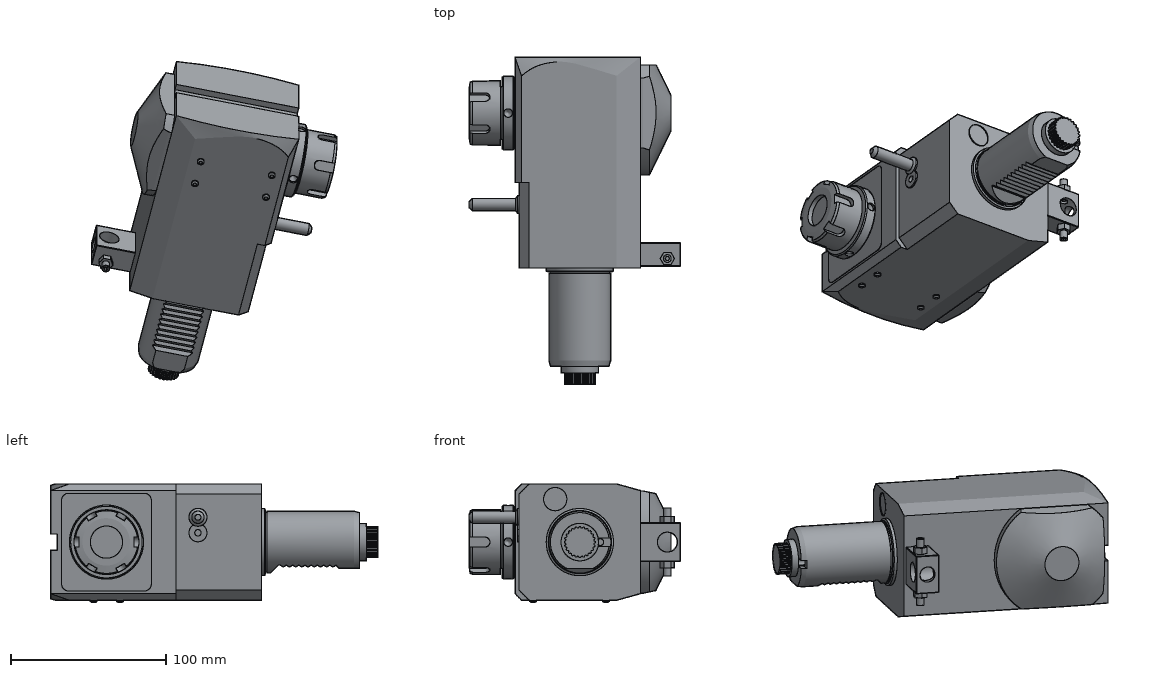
import cadquery as cq
import math


BODY_LENGTH = 136.0
HALF_HEIGHT = 37.5
RIGHT_FACE = 39.2
HEAD_LEFT = -41.8
HEAD_CHAMFER = 4.2
BASE_LEFT = -39.2
BASE_CHAMFER = 6.5
STEP_Y = 55.2
SLOPE_WIDTH = 15.3
SLOPE_DROP = 4.2
SLOT_WIDTH, SLOT_DEPTH = 10.2, 4.1
PLUG_X, PLUG_Z, PLUG_RADIUS, PLUG_SINK = -15.9, 27.7, 7.5, 0.6

CROWN_FRONT_Y = 123.9
CROWN_CURVE = [(-31.9, 128.2), (-14.0, 133.0), (8.8, 128.5)]
CROWN_REAR_PEAK = (-8.0, 36.7)

SPINDLE_Y = 100.0
NUT_FRONT, NUT_BACK, NUT_RADIUS = -71.6, -51.2, 20.9
NUT_FACE_RADIUS, NUT_BORE_RADIUS = 15.3, 10.4
NUT_CONE_LENGTH, NUT_CONE_RADIUS = 0.8, 20.2
NUT_EDGE_LENGTH = 2.5
COLLET_SINK = 3.2
NUT_SLOTS, NUT_SLOT_WIDTH, NUT_SLOT_FLOOR, NUT_SLOT_END = 6, 6.4, 17.7, -58.0
NECK_RADIUS = 17.0
RING_FRONT, RING_BACK, RING_RADIUS, RING_CHAMFER = -50.1, -42.4, 23.9, 0.8
RING_HOLES, RING_HOLE_RADIUS, RING_HOLE_DEPTH = 4, 2.75, 1.5
COVER_LENGTH, COVER_HEIGHT, COVER_CORNER, COVER_SINK = 57.9, 63.0, 4.5, 0.2

SHANK_RADIUS = 20.0
SHANK_END = -63.3
SHANK_CHAMFER_LENGTH, SHANK_CHAMFER = 3.5, 1.0
FLANGE_RADIUS, FLANGE_LENGTH = 21.7, 2.5
FLANGE_RIM, FLANGE_END_RADIUS = 2.0, 20.4
GROOVE_RADIUS, GROOVE_END = 19.4, -3.6
COLLAR_RADIUS, COLLAR_END = 12.1, -67.6
RUNOUT_START = -5.7
TOOTH_ROOT_Z, TOOTH_TIP_Z, TOOTH_PITCH, TOOTH_COUNT = -14.9, -16.2, 4.0, 9
FIRST_TOOTH_TIP = -14.0
SHANK_FLAT_Z = -17.0
KEYWAY_WIDTH, KEYWAY_DEPTH = 5.4, 3.5
COOLANT_X, COOLANT_RADIUS, COOLANT_DEPTH = 13.2, 2.2, 10.0
SPLINE_TIP, SPLINE_ROOT, SPLINE_END, SPLINE_TEETH = 10.0, 9.2, -75.0, 24
SPLINE_TIP_SHARE, SPLINE_BASE_SHARE = 0.3, 0.7

DOME_RADIUS, DOME_RIM_X, DOME_END_X, DOME_FLAT_RADIUS = 40.0, 44.9, 58.9, 11.3
DOME_REAR_Y = 131.1
DOME_SLOPE_X, DOME_SLOPE_Z, DOME_SLOPE = 41.0, 33.0, 0.214

BLOCK_RIGHT, BLOCK_FRONT, BLOCK_DEPTH, BLOCK_HALF_HEIGHT = 65.0, 1.2, 15.2, 12.5
BLOCK_CHAMFER = 0.4
BLOCK_HOLE_X, BLOCK_HOLE_RADIUS = 56.4, 6.4
PORT_RADIUS = 5.0
SCREW_Y, SCREW_RADIUS, SCREW_TOP, SCREW_TIP = 6.2, 2.5, 22.0, 8.0
SOCKET_WIDTH, SOCKET_DEPTH = 2.9, 2.5
LOCKNUT_ACROSS_CORNERS, LOCKNUT_HEIGHT = 9.2, 4.1

PIN_Y, PIN_Z, PIN_RADIUS, PIN_END = 41.0, 16.0, 4.0, -71.6
PIN_TIP_LENGTH, PIN_TIP_RADIUS = 2.3, 1.9
SEAT_RADIUS, SEAT_RIM, SEAT_HEIGHT = 5.8, 1.0, 2.2
NOZZLE_Z, NOZZLE_HOLE_RADIUS, NOZZLE_HOLE_DEPTH = 6.0, 2.1, 3.0

RIVET_XS, RIVET_YS = (-30.2, 16.8), (91.3, 108.3)
RIVET_RADIUS, RIVET_HEIGHT, RIVET_RIM, RIVET_TIP_RADIUS = 2.2, 1.6, 0.8, 1.0

ALONG_X, ALONG_Y, ALONG_Z = (1, 0, 0), (0, 1, 0), (0, 0, 1)


def lathe(origin, axis, profile):
    """Turn (distance along axis, radius) points into a solid about the axis through origin."""
    normal = ALONG_X if axis == ALONG_Z else ALONG_Z
    plane = cq.Plane(origin=origin, xDir=axis, normal=normal)
    start = (profile[0][0], 0)
    end = (profile[-1][0], 0)
    points = [*profile, end]
    if profile[0] != start:
        points.insert(0, start)
    outline = cq.Workplane(plane).polyline(points).close()
    return outline.revolve(360, (0, 0), (1, 0))


def rod(origin, axis, start, end, radius):
    return lathe(origin, axis, [(start, radius), (end, radius)])


def box(x_range, y_range, z_range):
    size = [high - low for low, high in (x_range, y_range, z_range)]
    corner = (x_range[0], y_range[0], z_range[0])
    return cq.Workplane("XY").box(*size, centered=False).translate(corner)


def housing_section(left, chamfer, y_start, y_end):
    upper = [
        (left, HALF_HEIGHT - chamfer),
        (left + chamfer, HALF_HEIGHT),
        (RIGHT_FACE - SLOPE_WIDTH, HALF_HEIGHT),
        (RIGHT_FACE, HALF_HEIGHT - SLOPE_DROP),
    ]
    lower = [(x, -z) for x, z in reversed(upper)]
    outline = cq.Workplane("XZ", origin=(0, y_start, 0)).polyline(upper + lower).close()
    return outline.extrude(y_start - y_end)


def crown_cutter():
    """Wedge above the ruled surface from the rear-face arch to the curve on the top face."""
    top_left = cq.Vector(HEAD_LEFT + HEAD_CHAMFER, CROWN_FRONT_Y, HALF_HEIGHT)
    top_right = cq.Vector(RIGHT_FACE - SLOPE_WIDTH, CROWN_FRONT_Y, HALF_HEIGHT)
    rear_left = cq.Vector(HEAD_LEFT, BODY_LENGTH, HALF_HEIGHT - HEAD_CHAMFER)
    rear_right = cq.Vector(RIGHT_FACE, BODY_LENGTH, HALF_HEIGHT - SLOPE_DROP)
    rear_peak = cq.Vector(CROWN_REAR_PEAK[0], BODY_LENGTH, CROWN_REAR_PEAK[1])
    corner_left = cq.Vector(HEAD_LEFT, BODY_LENGTH, HALF_HEIGHT)
    corner_right = cq.Vector(RIGHT_FACE, BODY_LENGTH, HALF_HEIGHT)

    inner = [cq.Vector(x, y, HALF_HEIGHT) for x, y in CROWN_CURVE]
    top_edge = cq.Edge.makeSpline([top_left, *inner, top_right])
    rear_edge = cq.Edge.makeThreePointArc(rear_left, rear_peak, rear_right)
    left_edge = cq.Edge.makeLine(rear_left, top_left)
    right_edge = cq.Edge.makeLine(rear_right, top_right)
    ridge = cq.Edge.makeLine(corner_left, corner_right)
    top_ties = [cq.Edge.makeLine(top_left, corner_left), cq.Edge.makeLine(top_right, corner_right)]
    rear_ties = [cq.Edge.makeLine(rear_left, corner_left), cq.Edge.makeLine(rear_right, corner_right)]

    def planar(*edges):
        return cq.Face.makeFromWires(cq.Wire.assembleEdges(list(edges)))

    faces = [
        cq.Face.makeRuledSurface(rear_edge, top_edge),
        planar(top_edge, top_ties[1], ridge, top_ties[0]),
        planar(rear_edge, rear_ties[1], ridge, rear_ties[0]),
        planar(left_edge, top_ties[0], rear_ties[0]),
        planar(right_edge, top_ties[1], rear_ties[1]),
    ]
    return cq.Workplane(cq.Solid.makeSolid(cq.Shell.makeShell(faces)).fix())


def housing():
    body = housing_section(BASE_LEFT, BASE_CHAMFER, 0, STEP_Y)
    body = body.union(housing_section(HEAD_LEFT, HEAD_CHAMFER, STEP_Y, BODY_LENGTH))
    crown = crown_cutter()
    body = body.cut(crown).cut(crown.mirror("XY"))
    rear_slot = box(
        (HEAD_LEFT, RIGHT_FACE),
        (BODY_LENGTH - SLOT_DEPTH, BODY_LENGTH),
        (-SLOT_WIDTH / 2, SLOT_WIDTH / 2),
    )
    plug_recess = rod((PLUG_X, 0, PLUG_Z), ALONG_Y, 0, PLUG_SINK, PLUG_RADIUS)
    cover_recess = (
        box(
            (HEAD_LEFT, HEAD_LEFT + COVER_SINK),
            (SPINDLE_Y - COVER_LENGTH / 2, SPINDLE_Y + COVER_LENGTH / 2),
            (-COVER_HEIGHT / 2, COVER_HEIGHT / 2),
        )
        .edges("|X")
        .fillet(COVER_CORNER)
    )
    return body.cut(rear_slot).cut(plug_recess).cut(cover_recess)


def dome():
    center = (0, SPINDLE_Y, 0)
    turned = lathe(
        center,
        ALONG_X,
        [
            (RIGHT_FACE, DOME_RADIUS),
            (DOME_RIM_X, DOME_RADIUS),
            (DOME_END_X, DOME_FLAT_RADIUS),
        ],
    )
    end_z = DOME_SLOPE_Z - DOME_SLOPE * (DOME_END_X - DOME_SLOPE_X)
    upper = [(RIGHT_FACE, DOME_SLOPE_Z), (DOME_SLOPE_X, DOME_SLOPE_Z), (DOME_END_X, end_z)]
    lower = [(x, -z) for x, z in reversed(upper)]
    envelope = (
        cq.Workplane("XZ", origin=(0, DOME_REAR_Y, 0))
        .polyline(upper + lower)
        .close()
        .extrude(2 * DOME_RADIUS)
    )
    return turned.intersect(envelope)


def collet_nut():
    center = (0, SPINDLE_Y, 0)
    nut = lathe(
        center,
        ALONG_X,
        [
            (NUT_FRONT, NUT_FACE_RADIUS),
            (NUT_FRONT + NUT_CONE_LENGTH, NUT_CONE_RADIUS),
            (NUT_FRONT + NUT_EDGE_LENGTH, NUT_RADIUS),
            (NUT_BACK, NUT_RADIUS),
        ],
    )
    bore = rod(center, ALONG_X, NUT_FRONT, NUT_FRONT + COLLET_SINK, NUT_BORE_RADIUS)
    nut = nut.cut(bore)
    slot_radius = NUT_SLOT_WIDTH / 2
    arc_center = NUT_SLOT_END - slot_radius
    slot = (
        cq.Workplane("XY", origin=(0, SPINDLE_Y, NUT_SLOT_FLOOR))
        .moveTo(NUT_FRONT, -slot_radius)
        .lineTo(arc_center, -slot_radius)
        .threePointArc((NUT_SLOT_END, 0), (arc_center, slot_radius))
        .lineTo(NUT_FRONT, slot_radius)
        .close()
        .extrude(NUT_RADIUS)
    )
    for index in range(NUT_SLOTS):
        angle = 90 + index * 360 / NUT_SLOTS
        nut = nut.cut(slot.rotate(center, (1, SPINDLE_Y, 0), angle))
    return nut


def spindle():
    center = (0, SPINDLE_Y, 0)
    neck = rod(center, ALONG_X, NUT_BACK, HEAD_LEFT + COVER_SINK, NECK_RADIUS)
    ring = lathe(
        center,
        ALONG_X,
        [
            (RING_FRONT, RING_RADIUS - RING_CHAMFER),
            (RING_FRONT + RING_CHAMFER, RING_RADIUS),
            (RING_BACK - RING_CHAMFER, RING_RADIUS),
            (RING_BACK, RING_RADIUS - RING_CHAMFER),
        ],
    )
    hole_origin = ((RING_FRONT + RING_BACK) / 2, SPINDLE_Y, 0)
    hole_shoulder = RING_RADIUS - RING_HOLE_DEPTH
    hole = lathe(
        hole_origin,
        ALONG_Z,
        [
            (hole_shoulder - RING_HOLE_RADIUS, 0),
            (hole_shoulder, RING_HOLE_RADIUS),
            (RING_RADIUS, RING_HOLE_RADIUS),
        ],
    )
    for index in range(RING_HOLES):
        ring = ring.cut(hole.rotate(center, (1, SPINDLE_Y, 0), index * 360 / RING_HOLES))
    return neck.union(ring).union(collet_nut())


def tooth_cutter():
    """Flat with rack teeth along the underside of the shank."""
    below = -2 * SHANK_RADIUS
    half_pitch = TOOTH_PITCH / 2
    runout_end = RUNOUT_START - (TOOTH_ROOT_Z + SHANK_RADIUS)
    points = [(RUNOUT_START, below), (RUNOUT_START, -SHANK_RADIUS), (runout_end, TOOTH_ROOT_Z)]
    for index in range(TOOTH_COUNT):
        tip = FIRST_TOOTH_TIP - index * TOOTH_PITCH
        points += [(tip + half_pitch, TOOTH_ROOT_Z), (tip, TOOTH_TIP_Z)]
    last_root = FIRST_TOOTH_TIP - (TOOTH_COUNT - 0.5) * TOOTH_PITCH
    flat_start = last_root - (TOOTH_ROOT_Z - SHANK_FLAT_Z)
    points += [
        (last_root, TOOTH_ROOT_Z),
        (flat_start, SHANK_FLAT_Z),
        (SHANK_END, SHANK_FLAT_Z),
        (SHANK_END, below),
    ]
    return cq.Workplane("YZ").polyline(points).close().extrude(SHANK_RADIUS, both=True)


def spline_end():
    pitch_angle = 2 * math.pi / SPLINE_TEETH
    half_tip = SPLINE_TIP_SHARE / 2
    half_base = SPLINE_BASE_SHARE / 2
    corners = [
        (-half_base, SPLINE_ROOT),
        (-half_tip, SPLINE_TIP),
        (half_tip, SPLINE_TIP),
        (half_base, SPLINE_ROOT),
    ]
    points = []
    for index in range(SPLINE_TEETH):
        for offset, radius in corners:
            angle = (index + offset) * pitch_angle
            points.append((radius * math.cos(angle), radius * math.sin(angle)))
    outline = cq.Workplane("XZ", origin=(0, COLLAR_END, 0)).polyline(points).close()
    return outline.extrude(COLLAR_END - SPLINE_END)


def shank():
    body = lathe(
        (0, 0, 0),
        ALONG_Y,
        [
            (0, FLANGE_RADIUS),
            (-FLANGE_RIM, FLANGE_RADIUS),
            (-FLANGE_LENGTH, FLANGE_END_RADIUS),
            (-FLANGE_LENGTH, GROOVE_RADIUS),
            (GROOVE_END, GROOVE_RADIUS),
            (GROOVE_END, SHANK_RADIUS),
            (SHANK_END + SHANK_CHAMFER_LENGTH, SHANK_RADIUS),
            (SHANK_END, SHANK_RADIUS - SHANK_CHAMFER),
        ],
    )
    keyway = box(
        (COLLAR_RADIUS, SHANK_RADIUS),
        (SHANK_END, SHANK_END + KEYWAY_DEPTH),
        (-KEYWAY_WIDTH / 2, KEYWAY_WIDTH / 2),
    )
    coolant_hole = rod((COOLANT_X, SHANK_END, 0), ALONG_Y, 0, COOLANT_DEPTH, COOLANT_RADIUS)
    collar = rod((0, 0, 0), ALONG_Y, SHANK_END, COLLAR_END, COLLAR_RADIUS)
    body = body.cut(tooth_cutter()).cut(keyway).cut(coolant_hole)
    return body.union(collar).union(spline_end())


def clamp_screw():
    """Upper set screw with its lock nut."""
    axis_point = (BLOCK_HOLE_X, SCREW_Y, 0)
    screw = rod(axis_point, ALONG_Z, SCREW_TIP, SCREW_TOP, SCREW_RADIUS)
    socket = (
        cq.Workplane("XY", origin=(BLOCK_HOLE_X, SCREW_Y, SCREW_TOP - SOCKET_DEPTH))
        .polygon(6, SOCKET_WIDTH)
        .extrude(SOCKET_DEPTH)
    )
    locknut = (
        cq.Workplane("XY", origin=(BLOCK_HOLE_X, SCREW_Y, BLOCK_HALF_HEIGHT))
        .polygon(6, LOCKNUT_ACROSS_CORNERS)
        .extrude(LOCKNUT_HEIGHT)
    )
    return screw.union(locknut).cut(socket)


def clamp_block():
    block = box(
        (RIGHT_FACE, BLOCK_RIGHT),
        (BLOCK_FRONT, BLOCK_FRONT + BLOCK_DEPTH),
        (-BLOCK_HALF_HEIGHT, BLOCK_HALF_HEIGHT),
    )
    block = block.edges("|X").chamfer(BLOCK_CHAMFER).faces(">X").chamfer(BLOCK_CHAMFER)
    hole = rod((BLOCK_HOLE_X, BLOCK_FRONT, 0), ALONG_Y, 0, BLOCK_DEPTH, BLOCK_HOLE_RADIUS)
    port_y = BLOCK_FRONT + BLOCK_DEPTH / 2
    port = rod((0, port_y, 0), ALONG_X, BLOCK_HOLE_X, BLOCK_RIGHT, PORT_RADIUS)
    screw_bore = rod((BLOCK_HOLE_X, SCREW_Y, 0), ALONG_Z, -SCREW_TIP, SCREW_TIP, SCREW_RADIUS)
    screw = clamp_screw()
    block = block.cut(hole).cut(port).cut(screw_bore)
    return block.union(screw).union(screw.mirror("XY"))


def coolant_pin():
    seat_top = BASE_LEFT - SEAT_HEIGHT
    return lathe(
        (0, PIN_Y, PIN_Z),
        ALONG_X,
        [
            (BASE_LEFT, SEAT_RADIUS),
            (BASE_LEFT - SEAT_RIM, SEAT_RADIUS),
            (seat_top, PIN_RADIUS),
            (PIN_END + PIN_TIP_LENGTH, PIN_RADIUS),
            (PIN_END, PIN_TIP_RADIUS),
        ],
    )


def nozzle():
    """Raised seat and the blind hole in it."""
    center = (BASE_LEFT - SEAT_RIM, PIN_Y, NOZZLE_Z)
    seat = rod(center, ALONG_X, 0, SEAT_RIM, SEAT_RADIUS)
    hole = rod(center, ALONG_X, 0, NOZZLE_HOLE_DEPTH, NOZZLE_HOLE_RADIUS)
    return seat, hole


def rivet(x, y):
    return lathe(
        (x, y, -HALF_HEIGHT),
        ALONG_Z,
        [(0, RIVET_RADIUS), (-RIVET_RIM, RIVET_RADIUS), (-RIVET_HEIGHT, RIVET_TIP_RADIUS)],
    )


part = housing().union(dome()).union(spindle()).union(shank()).union(clamp_block())
nozzle_seat, nozzle_hole = nozzle()
part = part.union(nozzle_seat).union(coolant_pin()).cut(nozzle_hole)
for rivet_x in RIVET_XS:
    for rivet_y in RIVET_YS:
        part = part.union(rivet(rivet_x, rivet_y))

result = part